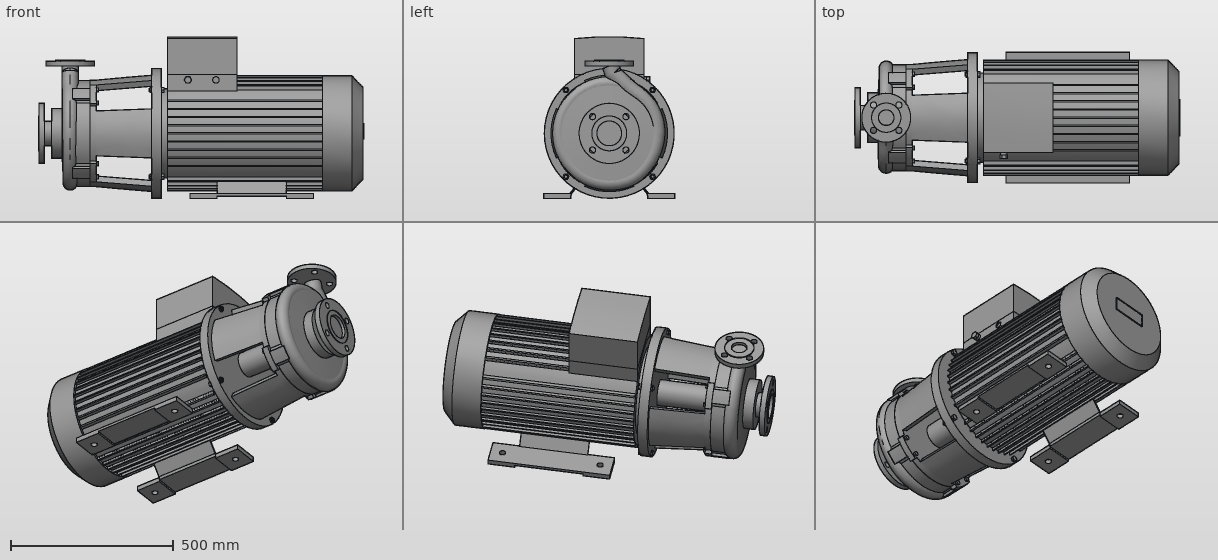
import cadquery as cq
import math


HUB_START = 41.0
HUB_END = 73.0
VOLUTE_FACE = 77.0
RING_START = 158.0
RING_END = 178.0
FLANGE_START = 349.0
FLANGE_END = 379.0
FRAME_START = 397.0
COVER_START = 874.0
COVER_BEVEL = 964.0
COVER_END = 999.0
OVERALL_LENGTH = 1002.0

SUCTION_FLANGE_DIA = 185.0
SUCTION_RAISED_DIA = 107.0
SUCTION_BOLT_CIRCLE = 145.0
SUCTION_RAISE = 2.0
SUCTION_BORE_DIA = 76.0
SUCTION_NECK_DIA = 76.0
DISCHARGE_FLANGE_DIA = 150.0
DISCHARGE_RAISED_DIA = 90.0
DISCHARGE_BOLT_CIRCLE = 110.0
DISCHARGE_RAISE = 3.0
DISCHARGE_BORE_DIA = 48.0
DISCHARGE_TOP = 225.0
FLANGE_THICKNESS = 19.0
FLANGE_HOLE_DIA = 19.0
BORE_DEPTH = 10.0

HUB_DIA = 154.0
CASING_RADIUS = 163.0
VOLUTE_RING_RADIUS = 152.0
VOLUTE_TUBE_RADIUS = 22.0
VOLUTE_RIM_TURN = 200
VOLUTE_X = 98.0
OUTLET_RADIUS = 26.0
OUTLET_BENDS = [(-106.0, -106.0), (-147.0, 0), (-99.0, 110.0), (-69.0, 132.0), (-37.0, 161.0), (-13.0, 183.0)]
OUTLET_END = (-4.0, 208.0)

LUG_RADIUS = 175.0
LUG_ROOT = 150.0
CASING_LUG_START = 105.0
CASING_LUG_HALF_WIDTH = 22.0
CASING_LUG_FOOT_HALF_WIDTH = 30.0
CASING_LUG_FOOT_RADIUS = 160.0
CASING_LUG_WAIST_RADIUS = 165.0
RING_LUG_HALF_WIDTH = 40.0
SCREW_DIA = 13.0
SCREW_HEIGHT = 6.0
SCREW_NEAR = 93.0
SCREW_FAR = 133.0

MOTOR_FLANGE_DIA = 400.0
LEG_START_RADIUS = 164.0
LEG_END_RADIUS = 179.0
LEG_THICKNESS = 20.0
LEG_ANGLE = 50
SHAFT_DIA = 80.0

BOLT_OFFSET = 133.0
BOLT_DIA = 10.0
BOLT_END = 9.0
NUT_SIZE = 16.0
NUT_HEIGHT = 5.0
BOLT_HEAD_HEIGHT = 8.0

SPIGOT_DIA = 276.0
FRAME_DIA = 356.0
CORE_DIA = 337.0
FIN_THICKNESS = 4.0
FIN_PITCH = 25.0
FINS_EACH_SIDE = 4
COVER_END_RADIUS = 141.0
PLATE_WIDTH = 113.0
PLATE_HEIGHT = 47.0
PLATE_Z = 7.0

FOOT_BASE_Z = -200.0
FOOT_LENGTH = 381.0
FOOT_CENTER_X = 656.0
FOOT_INNER_Y = 118.0
FOOT_OUTER_Y = 201.0
FOOT_THICKNESS = 16.0
FOOT_RELIEF = 7.0
FOOT_WEB_LENGTH = 213.0
FOOT_WEB_THICKNESS = 6.0
FOOT_WEB_TOP = (82.0, -137.0)
FOOT_HOLE_DIA = 19.0
FOOT_HOLE_SPAN = 306.0
FOOT_HOLE_Y = 159.0

BOX_SIZE = 214.0
BOX_BOTTOM = 128.0
LID_BOTTOM = 180.0
LID_SHOULDER = 292.0
LID_TOP = 298.0
ENTRY_Z = 164.0
GLAND_X = 460.0
SPARE_ENTRY_X = 546.0
ENTRY_DIA = 20.0
GLAND_COLLAR_LENGTH = 8.0
GLAND_HEX_LENGTH = 10.0
SPARE_ENTRY_DEPTH = 4.0

DIAGONALS = [45, 135, 225, 315]
HEX_CORNER_RATIO = 1 / math.cos(math.radians(30))


def x_cylinder(diameter, start, end):
    return cq.Workplane("YZ", origin=(start, 0, 0)).circle(diameter / 2).extrude(end - start)


def turn_about_shaft(body, angle):
    return body.rotate((0, 0, 0), (1, 0, 0), angle)


def pipe_flange(diameter, raised_dia, raise_height, bolt_circle, bore_dia):
    """Flange whose raised face lies at Z = 0 and looks toward +Z."""
    disc = cq.Workplane("XY").workplane(offset=-FLANGE_THICKNESS).circle(diameter / 2)
    flange = disc.extrude(FLANGE_THICKNESS - raise_height)
    flange = flange.union(cq.Workplane("XY").circle(raised_dia / 2).extrude(-FLANGE_THICKNESS))
    bolt_holes = (
        cq.Workplane("XY")
        .polarArray(bolt_circle / 2, 45, 360, 4)
        .circle(FLANGE_HOLE_DIA / 2)
        .extrude(-FLANGE_THICKNESS)
    )
    bore = cq.Workplane("XY").circle(bore_dia / 2).extrude(-BORE_DEPTH)
    return flange.cut(bolt_holes).cut(bore)


def lug(points, start, end):
    """Radial lug along +Y; its points are (radius, offset) and its top follows the lug radius."""
    block = cq.Workplane("YZ", origin=(start, 0, 0)).polyline(points).close().extrude(end - start)
    return block.intersect(x_cylinder(2 * LUG_RADIUS, start, end))


def volute_rim():
    """Rounded rim of the volute, from the bottom of the casing past the top on the +Y side."""
    rim = cq.Workplane("XZ").center(VOLUTE_X, -VOLUTE_RING_RADIUS).circle(VOLUTE_TUBE_RADIUS)
    return rim.revolve(VOLUTE_RIM_TURN, (0, VOLUTE_RING_RADIUS, 0), (1, VOLUTE_RING_RADIUS, 0))


def outlet_pipe():
    """Widening pipe that leaves the rim at the bottom, rounds the -Y side and bends up to the outlet."""
    start = cq.Vector(VOLUTE_X, 0, -VOLUTE_RING_RADIUS)
    start_direction = cq.Vector(0, -1, 0)
    bends = [cq.Vector(VOLUTE_X, y, z) for y, z in OUTLET_BENDS]
    end = cq.Vector(VOLUTE_X, *OUTLET_END)
    end_direction = cq.Vector(0, 0.35, 0.94)
    spine = cq.Edge.makeSpline([start, *bends, end], tangents=[start_direction, end_direction])
    inlet = cq.Wire.makeCircle(VOLUTE_TUBE_RADIUS, start, start_direction)
    outlet = cq.Wire.makeCircle(OUTLET_RADIUS, end, end_direction)
    pipe = cq.Solid.sweep_multi([inlet, outlet], cq.Wire.assembleEdges([spine]))
    return cq.Workplane(pipe)


def casing_core():
    """Turned body: suction neck, hub, slightly conical face and the cylinder behind the volute."""
    return (
        cq.Workplane("XY")
        .moveTo(FLANGE_THICKNESS, 0)
        .lineTo(FLANGE_THICKNESS, SUCTION_NECK_DIA / 2)
        .lineTo(HUB_START, SUCTION_NECK_DIA / 2)
        .lineTo(HUB_START, HUB_DIA / 2)
        .lineTo(HUB_END, HUB_DIA / 2)
        .lineTo(VOLUTE_FACE, VOLUTE_RING_RADIUS)
        .lineTo(VOLUTE_X, VOLUTE_RING_RADIUS)
        .lineTo(VOLUTE_X, CASING_RADIUS)
        .lineTo(RING_START, CASING_RADIUS)
        .lineTo(RING_START, 0)
        .close()
        .revolve(360, (0, 0, 0), (1, 0, 0))
    )


def make_casing():
    suction = pipe_flange(
        SUCTION_FLANGE_DIA, SUCTION_RAISED_DIA, SUCTION_RAISE, SUCTION_BOLT_CIRCLE, SUCTION_BORE_DIA
    ).rotate((0, 0, 0), (0, 1, 0), -90)
    discharge = pipe_flange(
        DISCHARGE_FLANGE_DIA,
        DISCHARGE_RAISED_DIA,
        DISCHARGE_RAISE,
        DISCHARGE_BOLT_CIRCLE,
        DISCHARGE_BORE_DIA,
    ).translate((VOLUTE_X, 0, DISCHARGE_TOP))
    casing = casing_core().union(volute_rim()).union(outlet_pipe())
    lug_points = [
        (LUG_ROOT, -CASING_LUG_FOOT_HALF_WIDTH),
        (CASING_LUG_FOOT_RADIUS, -CASING_LUG_FOOT_HALF_WIDTH),
        (CASING_LUG_WAIST_RADIUS, -CASING_LUG_HALF_WIDTH),
        (LUG_RADIUS, -CASING_LUG_HALF_WIDTH),
        (LUG_RADIUS, CASING_LUG_HALF_WIDTH),
        (CASING_LUG_WAIST_RADIUS, CASING_LUG_HALF_WIDTH),
        (CASING_LUG_FOOT_RADIUS, CASING_LUG_FOOT_HALF_WIDTH),
        (LUG_ROOT, CASING_LUG_FOOT_HALF_WIDTH),
    ]
    casing_lug = lug(lug_points, CASING_LUG_START, RING_START)
    for angle in DIAGONALS:
        casing = casing.union(turn_about_shaft(casing_lug, angle))
    return casing.union(suction).union(discharge)


def lantern_legs():
    """Four sectors of a conical shell that widens toward the motor."""
    leg = (
        cq.Workplane("XY")
        .polyline(
            [
                (RING_END, LEG_START_RADIUS - LEG_THICKNESS),
                (RING_END, LEG_START_RADIUS),
                (FLANGE_START, LEG_END_RADIUS),
                (FLANGE_START, LEG_END_RADIUS - LEG_THICKNESS),
            ]
        )
        .close()
        .revolve(LEG_ANGLE, (0, 0, 0), (1, 0, 0))
    )
    legs = turn_about_shaft(leg, -LEG_ANGLE / 2)
    for angle in (90, 180, 270):
        legs = legs.union(turn_about_shaft(leg, angle - LEG_ANGLE / 2))
    return legs


def bolt_points():
    return [(y, z) for y in (-BOLT_OFFSET, BOLT_OFFSET) for z in (-BOLT_OFFSET, BOLT_OFFSET)]


def make_lantern():
    ring = x_cylinder(2 * LEG_START_RADIUS, RING_START, RING_END)
    lug_points = [
        (LUG_ROOT, -RING_LUG_HALF_WIDTH),
        (LUG_RADIUS, -RING_LUG_HALF_WIDTH),
        (LUG_RADIUS, RING_LUG_HALF_WIDTH),
        (LUG_ROOT, RING_LUG_HALF_WIDTH),
    ]
    ring_lug = lug(lug_points, RING_START, RING_END)
    for angle in DIAGONALS:
        ring = ring.union(turn_about_shaft(ring_lug, angle))
    screw_points = [
        (y_side * y, z_side * z)
        for y, z in ((SCREW_NEAR, SCREW_FAR), (SCREW_FAR, SCREW_NEAR))
        for y_side in (-1, 1)
        for z_side in (-1, 1)
    ]
    screw_heads = (
        cq.Workplane("YZ", origin=(RING_END, 0, 0))
        .pushPoints(screw_points)
        .circle(SCREW_DIA / 2)
        .extrude(SCREW_HEIGHT)
    )
    bolt_holes = (
        cq.Workplane("YZ", origin=(FLANGE_START, 0, 0))
        .pushPoints(bolt_points())
        .circle(BOLT_DIA / 2)
        .extrude(FLANGE_END - FLANGE_START)
    )
    flange = x_cylinder(MOTOR_FLANGE_DIA, FLANGE_START, FLANGE_END).cut(bolt_holes)
    flange = flange.cut(x_cylinder(SHAFT_DIA, FLANGE_START, FLANGE_END))
    return ring.union(screw_heads).union(lantern_legs()).union(flange)


def make_bolt(y, z):
    """Bolt with its head behind the motor flange and its nut and thread end in front of it."""
    shank_start = FLANGE_START - BOLT_END
    shank = cq.Workplane("YZ", origin=(shank_start, y, z)).circle(BOLT_DIA / 2)
    corner_dia = NUT_SIZE * HEX_CORNER_RATIO
    nut = cq.Workplane("YZ", origin=(FLANGE_START, y, z)).polygon(6, corner_dia)
    head = cq.Workplane("YZ", origin=(FLANGE_END, y, z)).polygon(6, corner_dia)
    bolt = shank.extrude(FLANGE_END - shank_start)
    return bolt.union(nut.extrude(-NUT_HEIGHT)).union(head.extrude(BOLT_HEAD_HEIGHT))


def frame_fins():
    length = COVER_START - FRAME_START
    offsets = [FIN_PITCH * i for i in range(-FINS_EACH_SIDE, FINS_EACH_SIDE + 1)]
    slabs = (
        cq.Workplane("YZ", origin=(FRAME_START, 0, 0))
        .pushPoints([(y, 0) for y in offsets])
        .rect(FIN_THICKNESS, FRAME_DIA)
        .extrude(length)
    )
    slabs = slabs.union(turn_about_shaft(slabs, 90))
    return slabs.intersect(x_cylinder(FRAME_DIA, FRAME_START, COVER_START))


def make_foot():
    """Foot on the +Y side: a drilled plate, relieved in the middle, and a sloping web."""
    plate = cq.Workplane("XY").box(
        FOOT_LENGTH, FOOT_OUTER_Y - FOOT_INNER_Y, FOOT_THICKNESS, centered=(True, False, False)
    )
    plate = plate.translate((FOOT_CENTER_X, FOOT_INNER_Y, FOOT_BASE_Z))
    relief = cq.Workplane("XY").box(
        FOOT_WEB_LENGTH, FOOT_OUTER_Y, FOOT_RELIEF, centered=(True, False, False)
    )
    plate = plate.cut(relief.translate((FOOT_CENTER_X, FOOT_INNER_Y, FOOT_BASE_Z)))
    holes = (
        cq.Workplane("XY", origin=(FOOT_CENTER_X, FOOT_HOLE_Y, FOOT_BASE_Z))
        .rarray(FOOT_HOLE_SPAN, 10, 2, 1)
        .circle(FOOT_HOLE_DIA / 2)
        .extrude(FOOT_THICKNESS)
    )
    plate_top = FOOT_BASE_Z + FOOT_THICKNESS
    web_y, web_z = FOOT_WEB_TOP
    web = (
        cq.Workplane("YZ", origin=(FOOT_CENTER_X, 0, 0))
        .polyline(
            [
                (web_y, web_z),
                (FOOT_INNER_Y + FOOT_WEB_THICKNESS / 2, plate_top),
                (FOOT_INNER_Y + FOOT_WEB_THICKNESS / 2, FOOT_BASE_Z + FOOT_RELIEF),
                (FOOT_INNER_Y, FOOT_BASE_Z + FOOT_RELIEF),
                (FOOT_INNER_Y - FOOT_WEB_THICKNESS / 2, plate_top),
                (web_y - FOOT_WEB_THICKNESS, web_z),
            ]
        )
        .close()
        .extrude(FOOT_WEB_LENGTH / 2, both=True)
    )
    return plate.cut(holes).union(web)


def make_motor(terminal_box):
    motor = x_cylinder(CORE_DIA, FRAME_START, COVER_START).union(frame_fins())
    motor = motor.union(x_cylinder(SPIGOT_DIA, FLANGE_END, FRAME_START))
    motor = motor.union(x_cylinder(SHAFT_DIA, RING_END, FLANGE_END))
    foot = make_foot()
    motor = motor.union(foot).union(foot.mirror("XZ"))
    return motor.cut(terminal_box)


def make_fan_cover():
    cover = (
        cq.Workplane("XY")
        .polyline(
            [
                (COVER_START, 0),
                (COVER_START, FRAME_DIA / 2),
                (COVER_BEVEL, FRAME_DIA / 2),
                (COVER_END, COVER_END_RADIUS),
                (COVER_END, 0),
            ]
        )
        .close()
        .revolve(360, (0, 0, 0), (1, 0, 0))
    )
    end_plate = (
        cq.Workplane("YZ", origin=(COVER_END, 0, PLATE_Z))
        .rect(PLATE_WIDTH, PLATE_HEIGHT)
        .extrude(OVERALL_LENGTH - COVER_END)
    )
    return cover.union(end_plate)


def make_terminal_box():
    """Box base saddled on the motor core, with a cable gland and a spare entry on its -Y side."""
    base = cq.Workplane("XY").box(
        BOX_SIZE, BOX_SIZE, LID_BOTTOM - BOX_BOTTOM, centered=(False, True, False)
    )
    base = base.translate((FRAME_START, 0, BOX_BOTTOM))
    base = base.cut(x_cylinder(CORE_DIA, FRAME_START, FRAME_START + BOX_SIZE))
    side_y = -BOX_SIZE / 2
    spare_entry = cq.Workplane("XZ", origin=(SPARE_ENTRY_X, side_y, ENTRY_Z)).circle(ENTRY_DIA / 2)
    collar = cq.Workplane("XZ", origin=(GLAND_X, side_y, ENTRY_Z)).circle(ENTRY_DIA / 2)
    collar = collar.extrude(GLAND_COLLAR_LENGTH)
    hexagon = collar.faces("<Y").workplane().polygon(6, ENTRY_DIA * HEX_CORNER_RATIO)
    gland = hexagon.extrude(GLAND_HEX_LENGTH)
    return base.cut(spare_entry.extrude(-SPARE_ENTRY_DEPTH)).union(gland)


def make_lid():
    half = BOX_SIZE / 2
    return (
        cq.Workplane("YZ", origin=(FRAME_START, 0, 0))
        .moveTo(-half, LID_BOTTOM)
        .lineTo(half, LID_BOTTOM)
        .lineTo(half, LID_SHOULDER)
        .threePointArc((0, LID_TOP), (-half, LID_SHOULDER))
        .close()
        .extrude(BOX_SIZE)
    )


casing = make_casing()
lantern = make_lantern()
terminal_box = make_terminal_box()
lid = make_lid()
motor = make_motor(terminal_box)
fan_cover = make_fan_cover()
bolts = [make_bolt(y, z) for y, z in bolt_points()]

result = cq.Compound.makeCompound(
    [
        casing.val(),
        lantern.val(),
        motor.val(),
        fan_cover.val(),
        terminal_box.val(),
        lid.val(),
        *[bolt.val() for bolt in bolts],
    ]
)